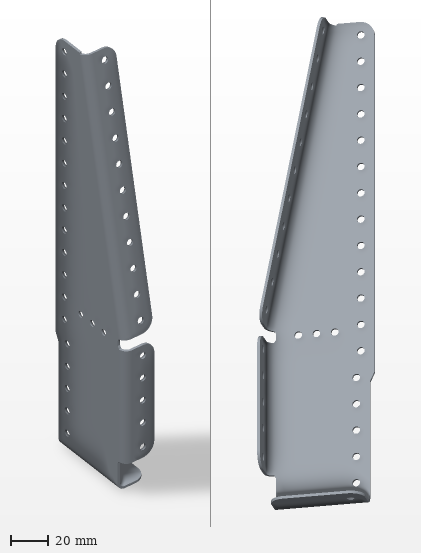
import cadquery as cq
import math

height = 275.0
width = 60.0
depth = 20.0
thickness = 1.5
bend_radius = 5.0
inner_radius = bend_radius - thickness
corner_radius = 8.0
hole_diameter = 4.0
edge_margin = 7.5

jog = 2.5
jog_top = 74.8
jog_bottom = 69.5
web_right = 54.0
bend_right = width - bend_radius
relief_size = 1.6

side_bottom = 20.5
side_top = 96.2

slope_top_x = 25.5
slope_bottom_x = 59.7
slope_bottom_z = 103.7
slope_angle = math.atan2(slope_bottom_x - slope_top_x, height - slope_bottom_z)
slope_length = math.hypot(slope_bottom_x - slope_top_x, height - slope_bottom_z)
slope_out = (math.cos(slope_angle), math.sin(slope_angle))
slope_up = (-math.sin(slope_angle), math.cos(slope_angle))
slope_start = (slope_bottom_x - bend_radius * slope_out[0], slope_bottom_z - bend_radius * slope_out[1])
slope_bend_top_x = slope_top_x - bend_radius / math.cos(slope_angle)

left_hole_count = 13
lower_hole_count = 5
lowest_hole_z = 12.6
pitch = (height - edge_margin - lowest_hole_z) / (left_hole_count + lower_hole_count - 1)
row_x = 21.7
row_end_x = 41.8
row_z = 99.5
row_count = 3
row_pitch = (row_end_x - row_x) / (row_count - 1)
flange_hole_y = 12.5
flange_margin = 7.2
side_hole_count = 5
slope_hole_pitch = 16.0
slope_hole_count = 11


def make_web():
    """Flat face of the bracket, reaching to the tangent line of each bend."""
    notch_top = slope_start[1] - relief_size
    outline = (
        cq.Workplane("XZ")
        .moveTo(jog, bend_radius)
        .lineTo(web_right, bend_radius)
        .lineTo(web_right, side_bottom - relief_size)
        .lineTo(bend_right, side_bottom)
        .lineTo(bend_right, side_top)
        .lineTo(web_right, side_top + relief_size)
        .lineTo(web_right, notch_top)
        .lineTo(*slope_start)
        .lineTo(slope_bend_top_x, height)
        .lineTo(corner_radius, height)
        .radiusArc((0, height - corner_radius), -corner_radius)
        .lineTo(0, jog_top)
        .lineTo(jog, jog_bottom)
        .close()
    )
    return outline.extrude(-thickness)


def make_flange(start, outward, along, length, hole_places):
    """Bent flange whose bend tangent line runs from start in the along direction."""
    profile = (
        cq.Workplane("XY")
        .lineTo(0, thickness)
        .radiusArc((inner_radius, bend_radius), -inner_radius)
        .lineTo(inner_radius, depth)
        .lineTo(bend_radius, depth)
        .lineTo(bend_radius, bend_radius)
        .radiusArc((0, 0), bend_radius)
        .close()
    )
    flange = profile.extrude(length).edges("|X and >Y").fillet(corner_radius)
    holes = (
        cq.Workplane("YZ")
        .pushPoints([(flange_hole_y, place) for place in hole_places])
        .circle(hole_diameter / 2)
        .extrude(bend_radius)
    )
    frame = cq.Plane(origin=start, xDir=outward, normal=along)
    return cq.Workplane(flange.cut(holes).val().moved(cq.Location(frame)))


def make_web_holes():
    """Column of holes following the left edge and its jog, and a short row."""
    points = []
    for index in range(left_hole_count + lower_hole_count):
        setback = 0 if index < left_hole_count else jog
        points.append((edge_margin + setback, height - edge_margin - index * pitch))
    for index in range(row_count):
        points.append((row_x + index * row_pitch, row_z))
    return cq.Workplane("XZ").pushPoints(points).circle(hole_diameter / 2).extrude(-thickness)


side_length = side_top - side_bottom
side_holes = [side_length - flange_margin - index * pitch for index in range(side_hole_count - 1)]
side_holes.append(flange_margin)
side_flange = make_flange((bend_right, 0, side_bottom), (1, 0, 0), (0, 0, 1), side_length, side_holes)

slope_holes = [slope_length - flange_margin - index * slope_hole_pitch for index in range(slope_hole_count)]
slope_flange = make_flange(
    (slope_start[0], 0, slope_start[1]),
    (slope_out[0], 0, slope_out[1]),
    (slope_up[0], 0, slope_up[1]),
    slope_length,
    slope_holes,
)

foot_length = web_right - jog
foot_flange = make_flange((jog, 0, bend_radius), (0, 0, -1), (1, 0, 0), foot_length, [corner_radius])

envelope = cq.Workplane("XY").box(width, depth, height, centered=False)

result = make_web().cut(make_web_holes()).union(side_flange).union(slope_flange).union(foot_flange)
result = result.intersect(envelope)